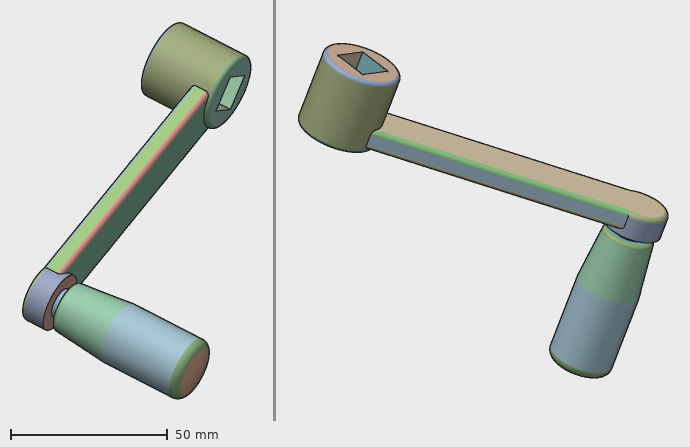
import cadquery as cq
import math


HUB_DIAMETER = 26.0
HUB_LENGTH = 26.0
HUB_EDGE_RADIUS = 1.3
SQUARE_SIDE = 12.0

CRANK_THROW = 100.0
ARM_THICKNESS = 6.8
ARM_HEIGHT = 18.2
ARM_EDGE_RADIUS = 1.5
BOSS_DIAMETER = 19.6
BOSS_LENGTH = 8.5
BOSS_EDGE_RADIUS = 1.5
ARM_FACE_X = HUB_LENGTH - BOSS_LENGTH

SPINDLE_DIAMETER = 10.0
SPINDLE_SEAT_DEPTH = 6.0
GRIP_BORE_DEPTH = 40.0
GRIP_GAP = 2.5

GRIP_LENGTH = 50.0
GRIP_RADIUS = 10.5
GRIP_NECK_RADIUS = 8.5
GRIP_TAPER_LENGTH = 20.0
GRIP_NECK_EDGE_RADIUS = 1.3
GRIP_CROWN_RADIUS = 28.0
GRIP_END_RADIUS = 3.0
GRIP_START_X = HUB_LENGTH + GRIP_GAP
GRIP_END_X = GRIP_START_X + GRIP_LENGTH


def rod(diameter, start_x, length, axis_y):
    """Round bar along X, on an axis at the given Y."""
    plane = cq.Plane(origin=(start_x, axis_y, 0), xDir=(0, 1, 0), normal=(1, 0, 0))
    return cq.Workplane(plane).circle(diameter / 2).extrude(length)


def make_spindle():
    start_x = HUB_LENGTH - SPINDLE_SEAT_DEPTH
    length = SPINDLE_SEAT_DEPTH + GRIP_GAP + GRIP_BORE_DEPTH
    return rod(SPINDLE_DIAMETER, start_x, length, -CRANK_THROW)


def make_crank(spindle):
    hub = rod(HUB_DIAMETER, 0, HUB_LENGTH, 0).edges("%CIRCLE").fillet(HUB_EDGE_RADIUS)
    arm = (
        cq.Workplane("XY")
        .box(ARM_THICKNESS, CRANK_THROW, ARM_HEIGHT)
        .edges("|Y")
        .fillet(ARM_EDGE_RADIUS)
        .translate((ARM_FACE_X + ARM_THICKNESS / 2, -CRANK_THROW / 2, 0))
    )
    boss = (
        rod(BOSS_DIAMETER, ARM_FACE_X, BOSS_LENGTH, -CRANK_THROW)
        .faces("<X")
        .edges()
        .fillet(BOSS_EDGE_RADIUS)
    )
    square_hole = (
        cq.Workplane("YZ")
        .rect(SQUARE_SIDE, SQUARE_SIDE)
        .extrude(HUB_LENGTH)
        .rotate((0, 0, 0), (1, 0, 0), 45)
    )
    return hub.union(arm).union(boss).cut(square_hole).cut(spindle)


def make_grip(spindle):
    """Tapered neck, straight barrel and a shallow spherical crown with a rounded rim."""
    rim_center_radius = GRIP_RADIUS - GRIP_END_RADIUS
    center_distance = GRIP_CROWN_RADIUS - GRIP_END_RADIUS
    rim_angle = math.asin(rim_center_radius / center_distance)
    crown_center_x = GRIP_END_X - GRIP_CROWN_RADIUS
    rim_center_x = crown_center_x + center_distance * math.cos(rim_angle)

    def arc_point(center_x, center_radius, arc_radius, angle):
        """Point on an arc, with the angle measured from the +X axis."""
        return (
            center_x + arc_radius * math.cos(angle),
            center_radius + arc_radius * math.sin(angle),
        )

    rim_mid_angle = (math.pi / 2 + rim_angle) / 2
    rim_middle = arc_point(rim_center_x, rim_center_radius, GRIP_END_RADIUS, rim_mid_angle)
    crown_start = arc_point(crown_center_x, 0, GRIP_CROWN_RADIUS, rim_angle)
    crown_middle = arc_point(crown_center_x, 0, GRIP_CROWN_RADIUS, rim_angle / 2)

    grip = (
        cq.Workplane("XY")
        .moveTo(GRIP_START_X, 0)
        .lineTo(GRIP_START_X, GRIP_NECK_RADIUS)
        .lineTo(GRIP_START_X + GRIP_TAPER_LENGTH, GRIP_RADIUS)
        .lineTo(rim_center_x, GRIP_RADIUS)
        .threePointArc(rim_middle, crown_start)
        .threePointArc(crown_middle, (GRIP_END_X, 0))
        .close()
        .revolve(360, (0, 0, 0), (1, 0, 0))
        .faces("<X")
        .edges()
        .fillet(GRIP_NECK_EDGE_RADIUS)
        .translate((0, -CRANK_THROW, 0))
    )
    return grip.cut(spindle)


spindle = make_spindle()
crank = make_crank(spindle)
grip = make_grip(spindle)

result = cq.Compound.makeCompound([crank.val(), spindle.val(), grip.val()])